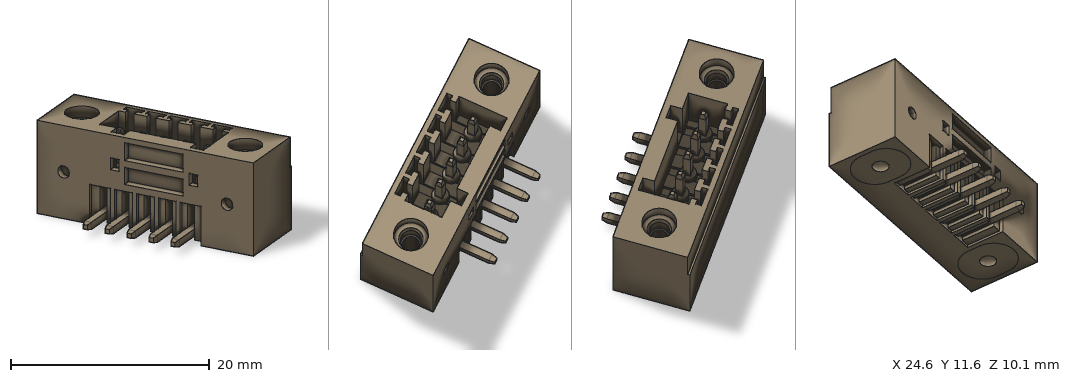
import cadquery as cq

LENGTH = 24.6
DEPTH = 8.15
HEIGHT = 10.1
REAR_STEP_SETBACK = 0.22
REAR_STEP_Z = 6.86

PIN_COUNT = 5
PIN_ROW_SPAN = 9.99
PIN_PITCH = PIN_ROW_SPAN / (PIN_COUNT - 1)
PIN_XS = [-PIN_ROW_SPAN / 2 + i * PIN_PITCH for i in range(PIN_COUNT)]
PIN_Y = 3.94
PIN_WIDTH = 0.79
POST_TIP_WIDTH = 0.4
TAIL_TIP_WIDTH = 0.5
PIN_TIP_LENGTH = 0.6
PIN_TOP_Z = 9.22
TAIL_Z = 1.13
TAIL_REACH = 3.47
PIN_REAR_Y = PIN_Y + PIN_WIDTH / 2

CAVITY_WIDTH = PIN_COUNT * PIN_PITCH
CAVITY_FRONT_Y = 1.95
CAVITY_REAR_Y = 6.08
CAVITY_FLOOR_Z = 5.0
KEYWAY_WIDTH = 1.5
KEYWAY_FRONT_Y = 0.71
KEYWAY_FLOOR_Z = 5.4
KEYWAY_LEFT_EDGES = [-4.28, CAVITY_WIDTH / 2 - KEYWAY_WIDTH]

SLOT_WIDTH = 1.0
SLOT_HEAD_WIDTH = 2.05
SLOT_HEAD_FRONT_Y = 6.72
SLOT_REAR_Y = 7.33
SLOT_FLOOR_Z = 4.62

COLLAR_DIAMETER = 1.8
COLLAR_TOP_Z = 5.6
COLLAR_FILLET = 0.3

WINDOW_WIDTH = SLOT_HEAD_WIDTH
WINDOW_ROW_WIDTH = 12.65
WINDOW_DEPTH = 0.42
WINDOW_TOP_Z = 4.28
UNDERCUT_HEIGHT = 0.3

LABEL_LEFT_X = -2.35
LABEL_WIDTH = 6.67
LABEL_DEPTH = 0.85
LABEL_Z_RANGES = [(5.02, 6.86), (7.6, 9.55)]
LATCH_LEFT_EDGES = [-3.99, 4.97]
LATCH_WIDTH = 0.98
LATCH_BOTTOM_Z = 6.32
LATCH_TOP_Z = 7.6

INSERT_X = 9.3
INSERT_Y = PIN_Y
INSERT_BORE = 1.7
INSERT_WIDTH = 4.92
INSERT_FRONT_Y = 0.76
INSERT_DEPTH = 2 * (INSERT_Y - INSERT_FRONT_Y)
INSERT_TOP_Z = 7.38
COUNTERBORE_DIAMETER = 3.5
COUNTERBORE_DEPTH = 1.23
COUNTERBORE_FLOOR_Z = HEIGHT - COUNTERBORE_DEPTH
LEAD_IN_DIAMETER = 2.45
LEAD_IN_DEPTH = 0.4
SCREW_HOLE_DIAMETER = 2.12
CROSS_HOLE_DIAMETER = 1.3
CROSS_HOLE_Z = 5.07


def box(x_range, y_range, z_range):
    """Axis-aligned box spanning the given (low, high) ranges."""
    (x0, x1), (y0, y1), (z0, z1) = x_range, y_range, z_range
    return cq.Workplane("XY").box(x1 - x0, y1 - y0, z1 - z0, centered=False).translate((x0, y0, z0))


def centred(x, width):
    """The X range of the given width about x."""
    return (x - width / 2, x + width / 2)


def cylinder(x, y, diameter, z_range):
    """Upright cylinder over a Z range."""
    low, high = z_range
    return cq.Workplane("XY", origin=(x, y, low)).circle(diameter / 2).extrude(high - low)


def block():
    """Outer block with the shallow step along the top of its rear face."""
    body = box(centred(0, LENGTH), (0, DEPTH), (0, HEIGHT))
    step = box(centred(0, LENGTH), (DEPTH - REAR_STEP_SETBACK, DEPTH), (REAR_STEP_Z, HEIGHT))
    return body.cut(step)


def plug_cavity():
    """Main cavity with its two keyways."""
    cavity = box(centred(0, CAVITY_WIDTH), (CAVITY_FRONT_Y, CAVITY_REAR_Y), (CAVITY_FLOOR_Z, HEIGHT))
    keyway_y_range = (KEYWAY_FRONT_Y, CAVITY_FRONT_Y)
    for left in KEYWAY_LEFT_EDGES:
        cavity = cavity.union(box((left, left + KEYWAY_WIDTH), keyway_y_range, (KEYWAY_FLOOR_Z, HEIGHT)))
    return cavity


def coding_slot(x):
    """T-shaped slot: a stem along the cavity floor and a wider head at the rear."""
    z_range = (SLOT_FLOOR_Z, HEIGHT)
    stem = box(centred(x, SLOT_WIDTH), (CAVITY_FRONT_Y, SLOT_REAR_Y), z_range)
    head = box(centred(x, SLOT_HEAD_WIDTH), (SLOT_HEAD_FRONT_Y, SLOT_REAR_Y), z_range)
    return stem.union(head)


def collar(x):
    """Rounded collar rising from the slot floor around a pin."""
    boss = cylinder(x, PIN_Y, COLLAR_DIAMETER, (SLOT_FLOOR_Z, COLLAR_TOP_Z))
    return boss.faces(">Z").edges().fillet(COLLAR_FILLET)


def pin_passage(x):
    """Open channel for the pin tail and the snug square hole for the pin above it."""
    channel = box(centred(x, PIN_WIDTH), (0, PIN_REAR_Y), (0, WINDOW_TOP_Z))
    hole = box(centred(x, PIN_WIDTH), (PIN_Y - PIN_WIDTH / 2, PIN_REAR_Y), (0, COLLAR_TOP_Z))
    return channel.union(hole)


def solder_window(x):
    """Shallow window with an undercut below it; the end windows reach out to the row's ends."""
    left, right = centred(x, WINDOW_WIDTH)
    if x == PIN_XS[0]:
        left = -WINDOW_ROW_WIDTH / 2
    if x == PIN_XS[-1]:
        right = WINDOW_ROW_WIDTH / 2
    window = box((left, right), (0, WINDOW_DEPTH), (0, WINDOW_TOP_Z))
    undercut = box((left, right), (0, PIN_REAR_Y), (0, UNDERCUT_HEIGHT))
    return window.union(undercut)


def front_recesses():
    """Two blind label recesses and two latch windows that open into the keyways."""
    recesses = cq.Workplane("XY")
    for z_range in LABEL_Z_RANGES:
        recesses = recesses.add(box((LABEL_LEFT_X, LABEL_LEFT_X + LABEL_WIDTH), (0, LABEL_DEPTH), z_range))
    for left in LATCH_LEFT_EDGES:
        latch = box((left, left + LATCH_WIDTH), (0, KEYWAY_FRONT_Y), (LATCH_BOTTOM_Z, LATCH_TOP_Z))
        recesses = recesses.add(latch)
    return recesses.combine()


def insert_body(x):
    """Upright block with half-round front and rear ends, standing on the underside."""
    return (
        cq.Workplane("XY", origin=(x, INSERT_Y, 0))
        .slot2D(INSERT_DEPTH, INSERT_WIDTH, angle=90)
        .extrude(INSERT_TOP_Z)
    )


def insert_hole(x):
    """Counterbored screw hole with a tapered lead-in, above the pocket that holds an insert."""
    counterbore = cylinder(x, INSERT_Y, COUNTERBORE_DIAMETER, (COUNTERBORE_FLOOR_Z, HEIGHT))
    lead_in = (
        cq.Workplane("XY", origin=(x, INSERT_Y, COUNTERBORE_FLOOR_Z))
        .circle(LEAD_IN_DIAMETER / 2)
        .workplane(offset=-LEAD_IN_DEPTH)
        .circle(SCREW_HOLE_DIAMETER / 2)
        .loft(ruled=True)
    )
    screw_hole = cylinder(x, INSERT_Y, SCREW_HOLE_DIAMETER, (INSERT_TOP_Z, COUNTERBORE_FLOOR_Z))
    return insert_body(x).union(screw_hole).union(lead_in).union(counterbore)


def cross_hole(x):
    """Round hole from the front face to the insert."""
    return cq.Workplane("XZ", origin=(x, 0, CROSS_HOLE_Z)).circle(CROSS_HOLE_DIAMETER / 2).extrude(-INSERT_Y)


def make_housing():
    housing = block().cut(plug_cavity()).cut(front_recesses())
    for x in PIN_XS:
        housing = housing.cut(coding_slot(x)).union(collar(x))
        housing = housing.cut(solder_window(x)).cut(pin_passage(x))
    for x in (-INSERT_X, INSERT_X):
        housing = housing.cut(insert_hole(x)).cut(cross_hole(x))
    return housing


def tapered_tip(plane, tip_width):
    """Square frustum on the given plane, narrowing along its normal."""
    return (
        cq.Workplane(plane)
        .rect(PIN_WIDTH, PIN_WIDTH)
        .workplane(offset=PIN_TIP_LENGTH)
        .rect(tip_width, tip_width)
        .loft(ruled=True)
    )


def make_pin(x):
    """Right-angle square pin with a tapered tip at each end."""
    tip_base_z = PIN_TOP_Z - PIN_TIP_LENGTH
    tip_base_y = PIN_TIP_LENGTH - TAIL_REACH
    width = centred(x, PIN_WIDTH)
    tail = box(width, (tip_base_y, PIN_REAR_Y), centred(TAIL_Z, PIN_WIDTH))
    post = box(width, (PIN_Y - PIN_WIDTH / 2, PIN_REAR_Y), (TAIL_Z, tip_base_z))
    post_tip = tapered_tip("XY", POST_TIP_WIDTH).translate((x, PIN_Y, tip_base_z))
    tail_tip = tapered_tip("XZ", TAIL_TIP_WIDTH).translate((x, tip_base_y, TAIL_Z))
    return tail.union(post).union(post_tip).union(tail_tip)


def make_insert(x):
    """Insert with a plain through bore."""
    return insert_body(x).cut(cylinder(x, INSERT_Y, INSERT_BORE, (0, INSERT_TOP_Z)))


housing = make_housing()
pins = [make_pin(x) for x in PIN_XS]
inserts = [make_insert(x) for x in (-INSERT_X, INSERT_X)]

result = cq.Compound.makeCompound([body.val() for body in (housing, *pins, *inserts)])